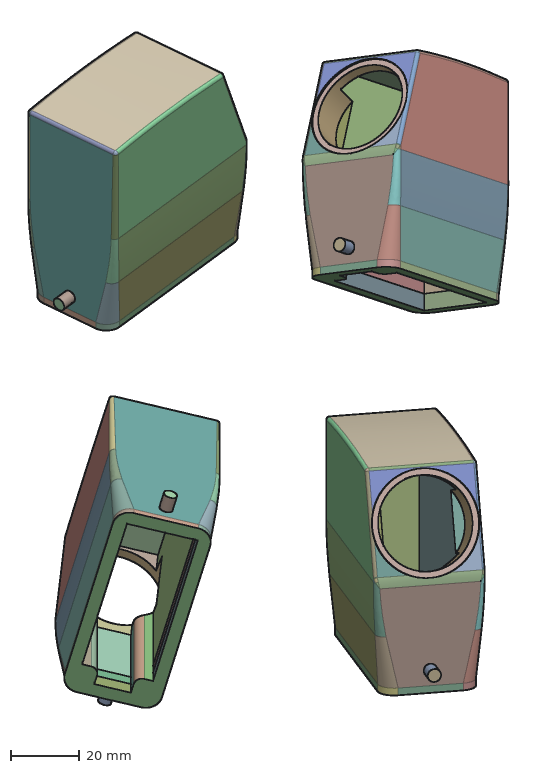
import cadquery as cq
import math

overall_height = 67.4
overall_width = 33.5
top_half_width = overall_width / 2
rim_half_width = 14.75
rim_half_length = 31.5
rim_height = 2.3
side_arc_bottom = 18.3
side_arc_top = 34.9
draft_angle = math.radians(0.7)
end_draft = math.tan(draft_angle)

rim_corner = 5.0
arc_bottom_corner = 2.7
arc_top_corner = 1.5
top_corner = 1.0
corner_shrink_power = 1.5
arc_steps = 4

crown_radius = 340.2
crown_center_y = -5.0
slope_angle = math.radians(20)
slope_rise = 1 / math.tan(slope_angle)
slope_normal = cq.Vector(0, math.cos(slope_angle), math.sin(slope_angle))
slope_foot_round = 10.0
edge_fillet = 1.0

entry_height = 50.4
entry_radius = 14.15
entry_depth = 10.95
recess_radius = 16.05
recess_depth = 0.5

wall = 4.0
cavity_half_width = rim_half_width - wall
cavity_half_length = rim_half_length - wall
cavity_height = overall_height - wall
post_face_y = 22.0
post_corner = 2.5
channel_half_width = 5.55

peg_diameter = 4.0
peg_height = 7.0
peg_tip_y = 36.5
strap_thickness = 1.0

margin = 7.3
blank_height = overall_height + margin
blank_half_width = top_half_width + margin


def half_length(z):
    """Half of the hood length: vertical at the rim, drafted inwards above it."""
    return rim_half_length - max(z - rim_height, 0) * end_draft


slope_foot_y = half_length(side_arc_top)


def slope_y(z, inset=0):
    """Y of the sloped face at height z, moved into the hood by inset."""
    shift = inset / math.cos(slope_angle)
    return slope_foot_y - shift - (z - side_arc_top) / slope_rise


def slope_z(y, inset):
    """Height of the sloped face at y, moved into the hood by inset."""
    return side_arc_top + (slope_y(side_arc_top, inset) - y) * slope_rise


def arc_half_width(z):
    """Half of the hood width along the side arc, upright at its top end."""
    arc_height = side_arc_top - side_arc_bottom
    lean = (top_half_width - rim_half_width) / (side_arc_top - rim_height - arc_height / 2)
    return top_half_width - lean * (side_arc_top - z) ** 2 / (2 * arc_height)


def arc_corner(z):
    """Corner radius along the side arc."""
    drop = (side_arc_top - z) / (side_arc_top - side_arc_bottom)
    return arc_top_corner + (arc_bottom_corner - arc_top_corner) * drop ** corner_shrink_power


def cross_section(z, half_width, corner):
    """Rounded rectangle across the hood at height z."""
    outline = cq.Sketch().rect(2 * half_width, 2 * half_length(z)).vertices().fillet(corner)
    return outline.moved(cq.Location(cq.Vector(0, 0, z)))


def make_blank():
    """Hood body without its crown and sloped face, lofted zone by zone."""
    step = (side_arc_top - side_arc_bottom) / arc_steps
    arc_heights = [side_arc_bottom + i * step for i in range(arc_steps + 1)]
    rim = [cross_section(z, rim_half_width, rim_corner) for z in (0, rim_height)]
    arc = [cross_section(z, arc_half_width(z), arc_corner(z)) for z in arc_heights]
    top = cross_section(blank_height, top_half_width, top_corner)
    blank = cq.Workplane().placeSketch(*rim).loft(ruled=True)
    blank = blank.union(cq.Workplane().placeSketch(rim[-1], arc[0]).loft(ruled=True))
    blank = blank.union(cq.Workplane().placeSketch(*arc).loft())
    return blank.union(cq.Workplane().placeSketch(arc[-1], top).loft(ruled=True))


def make_slope_cut():
    """Wedge that leaves the sloped face, with an arc tangent to the +Y end at its foot."""
    tangent_length = slope_foot_round * math.tan((slope_angle - draft_angle) / 2)
    arc_start_z = side_arc_top - tangent_length * math.cos(draft_angle)
    arc_start_y = half_length(arc_start_z)
    arc_end_z = side_arc_top + tangent_length * math.cos(slope_angle)
    center_y = arc_start_y - slope_foot_round * math.cos(draft_angle)
    center_z = arc_start_z - slope_foot_round * math.sin(draft_angle)
    middle_angle = (slope_angle + draft_angle) / 2
    arc_middle = (
        center_y + slope_foot_round * math.cos(middle_angle),
        center_z + slope_foot_round * math.sin(middle_angle),
    )
    beyond_y = slope_foot_y + margin
    return (
        cq.Workplane("YZ")
        .moveTo(arc_start_y, arc_start_z)
        .threePointArc(arc_middle, (slope_y(arc_end_z), arc_end_z))
        .lineTo(slope_y(blank_height), blank_height)
        .lineTo(beyond_y, blank_height)
        .lineTo(beyond_y, arc_start_z)
        .close()
        .extrude(blank_half_width, both=True)
    )


def make_outer_body():
    """Solid hood with its sloped face, crown and rounded upper edges."""
    crown = (
        cq.Workplane("YZ", origin=(0, crown_center_y, overall_height - crown_radius))
        .circle(crown_radius)
        .extrude(blank_half_width, both=True)
    )
    body = make_blank().cut(make_slope_cut()).intersect(crown)
    crown_edges = body.faces(">Z").edges()
    slope_face = body.faces(cq.selectors.ParallelDirSelector(slope_normal))
    return slope_face.edges("not |X").add(crown_edges).fillet(edge_fillet)


def make_cavity():
    """Cavity with roof and slope one wall thickness inside the hood, T-shaped in plan."""
    profile = (
        cq.Workplane("YZ")
        .moveTo(-cavity_half_length, 0)
        .lineTo(cavity_half_length, 0)
        .lineTo(cavity_half_length, slope_z(cavity_half_length, wall))
        .lineTo(slope_y(cavity_height, wall), cavity_height)
        .lineTo(-cavity_half_length, cavity_height)
        .close()
        .extrude(cavity_half_width, both=True)
    )
    plan = (
        cq.Workplane("XY")
        .moveTo(-cavity_half_width, -cavity_half_length)
        .lineTo(cavity_half_width, -cavity_half_length)
        .lineTo(cavity_half_width, post_face_y)
        .lineTo(channel_half_width, post_face_y)
        .lineTo(channel_half_width, cavity_half_length)
        .lineTo(-channel_half_width, cavity_half_length)
        .lineTo(-channel_half_width, post_face_y)
        .lineTo(-cavity_half_width, post_face_y)
        .close()
        .extrude(cavity_height)
    )
    post_edges = [(side * channel_half_width, post_face_y, cavity_height / 2) for side in (-1, 1)]
    for point in post_edges:
        plan = plan.edges(cq.selectors.NearestToPointSelector(point)).fillet(post_corner)
    return profile.intersect(plan)


def make_entry():
    """Cable bore with a shallow round recess around it in the sloped face."""
    center = (0, slope_y(entry_height), entry_height)
    inward = cq.Workplane(cq.Plane(origin=center, xDir=(1, 0, 0), normal=-slope_normal))
    bore = inward.circle(entry_radius).extrude(entry_depth)
    recess = inward.workplane(offset=-margin).circle(recess_radius).extrude(margin + recess_depth)
    return bore.union(recess)


def make_bail():
    """U-shaped strap along both ends and the +X side of the cavity, with a peg on each end."""
    strap_x = cavity_half_width + strap_thickness
    strap_y = cavity_half_length + strap_thickness
    center = cq.Workplane("XY", origin=(0, 0, peg_height))
    inside = center.center(-strap_thickness, 0).box(2 * strap_x, 2 * cavity_half_length, peg_diameter)
    bail = center.box(2 * strap_x, 2 * strap_y, peg_diameter).cut(inside)
    for end in (-1, 1):
        peg = (
            cq.Workplane("XZ", origin=(0, end * cavity_half_length, peg_height))
            .circle(peg_diameter / 2)
            .extrude(-end * (peg_tip_y - cavity_half_length))
        )
        bail = bail.union(peg)
    return bail


bail = make_bail()
housing = make_outer_body().cut(make_cavity()).cut(make_entry()).cut(bail)

result = cq.Compound.makeCompound([housing.solids().val(), bail.solids().val()])